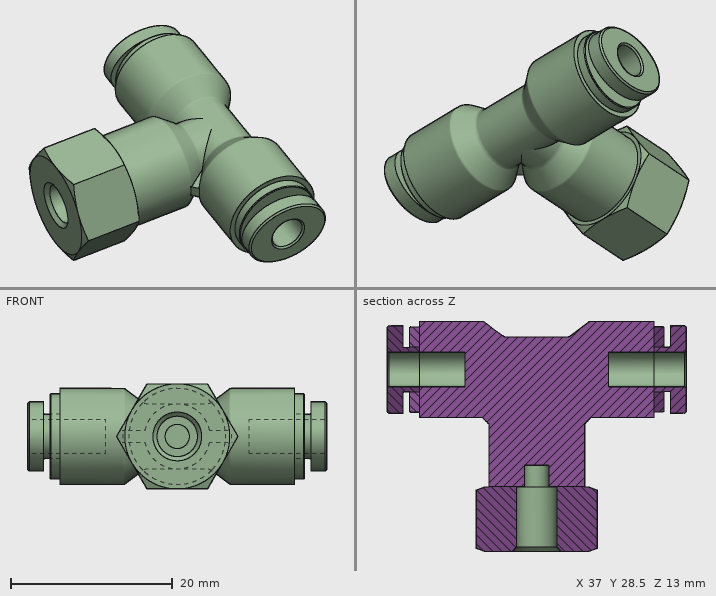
import cadquery as cq
import math

run_end = 18.5
branch_end = 22.5

run_angles = (0, 180)
branch_angle = -90

tube_diameter = 11.9
neck_diameter = 8.05
arm_length = 14.5
cone_inner = 4.0
cone_outer = 6.55
neck_blend = 0.55
tube_blend = 0.37
web_thickness = 1.48
web_reach = 12.65
web_side = 6.9
tube_bore = 4.2
tube_stop = 8.88
branch_passage = 3.0
branch_stop = 11.85

hexagon_sides = 6
nut_across_flats = 13.0
nut_chamfer_angle = 22.0
nut_bore = 5.0
nut_countersink = 6.05
nut_countersink_depth = 0.5

cap_diameter = 10.6
cap_end = 15.72
cap_chamfer = 0.1

stem_diameter = 5.5
flange_width = 10.85
flange_height = 8.6
flange_thickness = 2.0
flange_chamfer = 0.22
bore_chamfer = 0.22
stem_fillet = 0.1


def rod(diameter, start, end):
    """Round bar along +X between two distances from the origin."""
    return cq.Workplane("YZ", origin=(start, 0, 0)).circle(diameter / 2).extrude(end - start)


def make_arm():
    """One arm of the tee along +X: neck, rounded cone and full-size tube."""
    neck_radius = neck_diameter / 2
    tube_radius = tube_diameter / 2
    arm = (
        cq.Workplane("XY")
        .moveTo(0, 0)
        .lineTo(0, neck_radius)
        .lineTo(cone_inner, neck_radius)
        .lineTo(cone_outer, tube_radius)
        .lineTo(arm_length, tube_radius)
        .lineTo(arm_length, 0)
        .close()
        .revolve(360, (0, 0, 0), (1, 0, 0))
    )
    arm = arm.edges(cq.selectors.NearestToPointSelector((cone_inner, 0, 0))).fillet(neck_blend)
    return arm.edges(cq.selectors.NearestToPointSelector((cone_outer, 0, 0))).fillet(tube_blend)


def turned(body, angle):
    """Copy of a +X body turned about Z onto the arm at the given angle."""
    return body.rotate((0, 0, 0), (0, 0, 1), angle)


def make_tee():
    """Three arms joined at the centre, with a flat web in the corners and blind passages."""
    arm = make_arm()
    web = (
        cq.Workplane("XY", origin=(0, 0, -web_thickness / 2))
        .polyline(
            [
                (0, 0),
                (web_side, 0),
                (web_side, web_side - web_reach),
                (web_reach - web_side, -web_side),
                (web_side - web_reach, -web_side),
                (-web_side, web_side - web_reach),
                (-web_side, 0),
            ]
        )
        .close()
        .extrude(web_thickness)
    )
    tube_passage = rod(tube_bore, tube_stop, arm_length)
    tee = web
    for angle in (*run_angles, branch_angle):
        tee = tee.union(turned(arm, angle))
    for angle in run_angles:
        tee = tee.cut(turned(tube_passage, angle))
    return tee.cut(turned(rod(branch_passage, branch_stop, arm_length), branch_angle))


def make_nut():
    """Hexagon nut with chamfered corners at both ends and a countersunk bore."""
    length = branch_end - arm_length
    corner_diameter = nut_across_flats / math.cos(math.pi / hexagon_sides)
    chamfer_width = (corner_diameter - nut_across_flats) / 2
    chamfer_depth = chamfer_width * math.tan(math.radians(nut_chamfer_angle))
    blank = rod(corner_diameter, arm_length, branch_end)
    blank = blank.faces("<X or >X").edges().chamfer(chamfer_depth, chamfer_width)
    hexagon = (
        cq.Workplane("YZ", origin=(arm_length, 0, 0))
        .polygon(hexagon_sides, corner_diameter)
        .extrude(length)
    )
    nut = hexagon.intersect(blank).cut(rod(nut_bore, arm_length, branch_end))
    countersink_width = (nut_countersink - nut_bore) / 2
    mouth = nut.faces(">X").edges(cq.selectors.RadiusNthSelector(0))
    return turned(mouth.chamfer(nut_countersink_depth, countersink_width), branch_angle)


def make_cap():
    """Ring that closes the end of a run arm and guides the collet stem."""
    ring = rod(cap_diameter, arm_length, cap_end).faces(">X").edges().chamfer(cap_chamfer)
    return ring.cut(rod(stem_diameter, arm_length, cap_end))


def make_collet():
    """Release collet: tubular stem with an oval push flange."""
    flange = (
        cq.Workplane("YZ", origin=(run_end - flange_thickness, 0, 0))
        .ellipse(flange_width / 2, flange_height / 2)
        .extrude(flange_thickness)
        .faces(">X")
        .edges()
        .chamfer(flange_chamfer)
    )
    flange_back = run_end - flange_thickness
    collet = flange.union(rod(stem_diameter, arm_length, flange_back))
    stem_root = cq.selectors.BoxSelector(
        (flange_back - stem_fillet, -flange_height, -flange_height),
        (flange_back + stem_fillet, flange_height, flange_height),
    )
    collet = collet.edges(stem_root).edges("%CIRCLE").fillet(stem_fillet)
    collet = collet.cut(rod(tube_bore, arm_length, run_end))
    return collet.faces(">X").edges(cq.selectors.RadiusNthSelector(0)).chamfer(bore_chamfer)


tee = make_tee()
nut = make_nut()
caps = []
collets = []
for angle in run_angles:
    caps.append(turned(make_cap(), angle))
    collets.append(turned(make_collet(), angle))

bodies = [tee, nut, *caps, *collets]
result = cq.Compound.makeCompound([body.solids().val() for body in bodies])